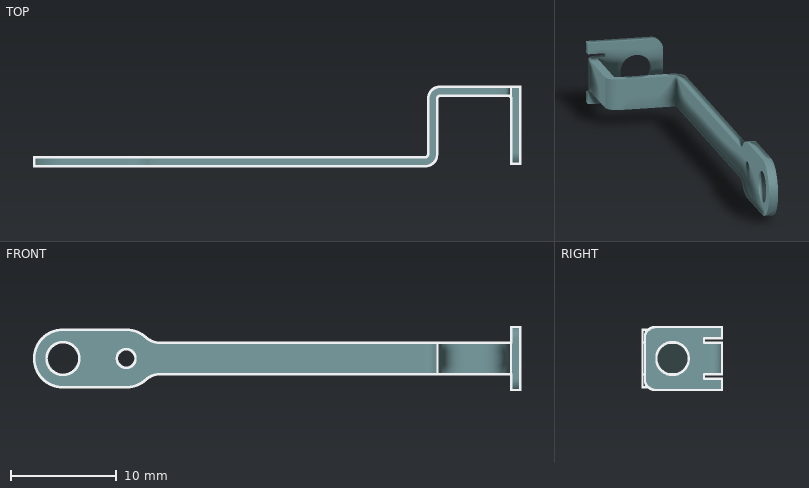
import cadquery as cq
import math

length = 46.05
depth = 7.55
thickness = 0.87
strip_width = 3.0
inner_bend_radius = 0.28
outer_bend_radius = inner_bend_radius + thickness
step_x = 37.3

head_width = 5.5
head_radius = head_width / 2
large_hole_diameter = 3.1
small_hole_diameter = 1.75
hole_spacing = 6.0
neck_radius = 2.0

plate_height = 6.0
plate_front_y = 0.25
plate_corner_radius = 1.0
plate_hole_y = 2.85
plate_hole_diameter = 3.1
relief_depth = 1.7
relief_width = 0.4

large_hole_x = head_radius
small_hole_x = large_hole_x + hole_spacing
half_strip = strip_width / 2
plate_x = length - thickness


def round_edges(body, corners, radius):
    """Fillet the Z-parallel edge at each (x, y) corner."""
    for x, y in corners:
        body = body.edges(cq.selectors.NearestToPointSelector((x, y, 0))).fillet(radius)
    return body


def make_strip():
    """Bent strip of constant thickness, ending in the tongue that joins the end plate."""
    step_right = step_x + thickness
    flange_front_y = depth - thickness
    tongue_end_y = depth - relief_depth
    strip = (
        cq.Workplane("XY")
        .moveTo(small_hole_x, 0)
        .lineTo(step_right, 0)
        .lineTo(step_right, flange_front_y)
        .lineTo(plate_x, flange_front_y)
        .lineTo(plate_x, tongue_end_y)
        .lineTo(length, tongue_end_y)
        .lineTo(length, depth)
        .lineTo(step_x, depth)
        .lineTo(step_x, thickness)
        .lineTo(small_hole_x, thickness)
        .close()
        .extrude(half_strip, both=True)
    )

    outer_corners = [(step_right, 0), (step_x, depth), (length, depth)]
    inner_corners = [(step_x, thickness), (step_right, flange_front_y), (plate_x, flange_front_y)]
    strip = round_edges(strip, outer_corners, outer_bend_radius)
    return round_edges(strip, inner_corners, inner_bend_radius)


def make_head():
    """Flat head with round ends, blended into the strip by concave arcs."""
    neck_center_z = half_strip + neck_radius
    center_distance = head_radius + neck_radius
    neck_end_x = small_hole_x + math.sqrt(center_distance**2 - neck_center_z**2)
    join_angle = math.asin(neck_center_z / center_distance)
    join_x = small_hole_x + head_radius * math.cos(join_angle)
    join_z = head_radius * math.sin(join_angle)
    mid_angle = (join_angle + math.pi / 2) / 2
    shoulder_x = small_hole_x + head_radius * math.cos(mid_angle)
    shoulder_z = head_radius * math.sin(mid_angle)
    neck_x = neck_end_x - neck_radius * math.cos(mid_angle)
    neck_z = neck_center_z - neck_radius * math.sin(mid_angle)
    return (
        cq.Workplane("XZ")
        .moveTo(large_hole_x, head_radius)
        .lineTo(small_hole_x, head_radius)
        .threePointArc((shoulder_x, shoulder_z), (join_x, join_z))
        .threePointArc((neck_x, neck_z), (neck_end_x, half_strip))
        .lineTo(neck_end_x, -half_strip)
        .threePointArc((neck_x, -neck_z), (join_x, -join_z))
        .threePointArc((shoulder_x, -shoulder_z), (small_hole_x, -head_radius))
        .lineTo(large_hole_x, -head_radius)
        .threePointArc((0, 0), (large_hole_x, head_radius))
        .close()
        .extrude(-thickness)
    )


def head_hole(x, diameter):
    return cq.Workplane("XZ").center(x, 0).circle(diameter / 2).extrude(-thickness)


def make_end_plate():
    """Plate with two rounded front corners, a hole and a notch cleared for the bend."""
    plate = (
        cq.Workplane("XY")
        .box(thickness, depth - plate_front_y, plate_height, centered=(False, False, True))
        .translate((plate_x, plate_front_y, 0))
        .edges("|X and <Y")
        .fillet(plate_corner_radius)
    )
    hole = (
        cq.Workplane("YZ", origin=(plate_x, 0, 0))
        .center(plate_hole_y, 0)
        .circle(plate_hole_diameter / 2)
        .extrude(thickness)
    )
    notch_width = strip_width + 2 * relief_width
    notch = (
        cq.Workplane("XY")
        .box(thickness, relief_depth, notch_width, centered=(False, False, True))
        .translate((plate_x, depth - relief_depth, 0))
    )
    return plate.cut(hole).cut(notch)


result = make_strip().union(make_head()).union(make_end_plate())
result = result.cut(head_hole(large_hole_x, large_hole_diameter))
result = result.cut(head_hole(small_hole_x, small_hole_diameter))